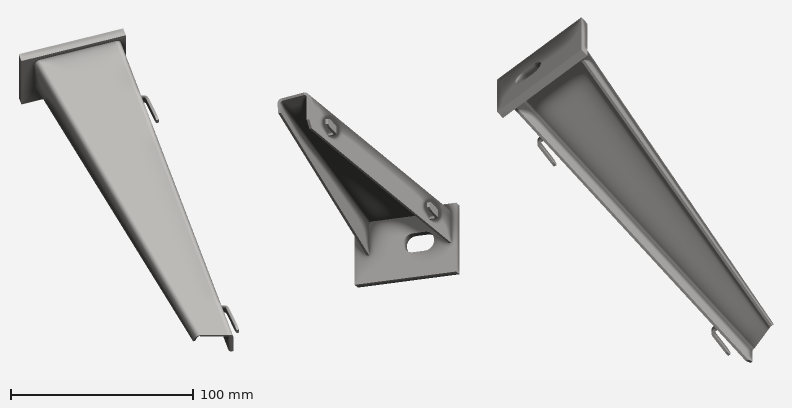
import cadquery as cq
import math

PLATE_THICKNESS = 5.0
PLATE_WIDTH = 60.0
PLATE_HEIGHT = 40.0
SLOT_LENGTH = 18.0
SLOT_HEIGHT = 11.0
SLOT_OFFSET_Y = 8.0

TOTAL_LENGTH = 215.0
ARM_LENGTH = TOTAL_LENGTH - PLATE_THICKNESS
SHEET = 1.5
BEND_RADIUS = 3.0
INNER_RADIUS = BEND_RADIUS - SHEET
TOP_Z = 17.0
BACK_Y = 27.0
BACK_FOLD_Y = BACK_Y - BEND_RADIUS
BACK_HEIGHT = 20.0
BACK_CHAMFER = 4.0

FRONT_FOLD_Y = -19.8
TAPER_ANGLE = 8.1
FRONT_FOLD_LENGTH = 207.7
FRONT_HEIGHT_AT_PLATE = 21.0
FRONT_HEIGHT_AT_TIP = 7.5
FRONT_TIP_SETBACK = 2.8

HOOK_X = 36.1
HOOK_SPACING = 150.0
HOOK_COUNT = 2
HOOK_Z = 2.5
HOOK_WIDTH = 4.5
HOOK_STEM = 2.5
HOOK_BEND_RADIUS = 3.0
HOOK_LENGTH = 17.8
HOOK_SLOPE = 4.6
HOOK_TIP_LENGTH = 2.5
HOOK_TIP_CHAMFER = 0.9


def make_plate():
    """Flat plate with one horizontal slot through it."""
    plate = cq.Workplane("XY").box(PLATE_THICKNESS, PLATE_WIDTH, PLATE_HEIGHT, centered=(False, True, True))
    slot = (
        cq.Workplane("YZ")
        .center(SLOT_OFFSET_Y, 0)
        .slot2D(SLOT_LENGTH, SLOT_HEIGHT)
        .extrude(PLATE_THICKNESS)
    )
    return plate.cut(slot)


def folded_flange(length, height, outward):
    """Quarter bend and hanging leg along X; the fold starts at Y = 0, Z = 0 and turns to the outward side."""
    mid = math.sqrt(0.5)
    return (
        cq.Workplane("YZ")
        .moveTo(0, 0)
        .threePointArc(
            (outward * BEND_RADIUS * mid, BEND_RADIUS * (mid - 1)),
            (outward * BEND_RADIUS, -BEND_RADIUS),
        )
        .lineTo(outward * BEND_RADIUS, -height)
        .lineTo(outward * INNER_RADIUS, -height)
        .lineTo(outward * INNER_RADIUS, -BEND_RADIUS)
        .threePointArc(
            (outward * INNER_RADIUS * mid, INNER_RADIUS * mid - BEND_RADIUS),
            (0, -SHEET),
        )
        .close()
        .extrude(length)
    )


def make_top():
    """Flat top of the arm, between the two fold lines."""
    taper = math.radians(TAPER_ANGLE)
    front_tip_x = PLATE_THICKNESS + FRONT_FOLD_LENGTH * math.cos(taper)
    front_tip_y = FRONT_FOLD_Y + FRONT_FOLD_LENGTH * math.sin(taper)
    outline = [
        (PLATE_THICKNESS, FRONT_FOLD_Y),
        (front_tip_x, front_tip_y),
        (TOTAL_LENGTH, BACK_FOLD_Y),
        (PLATE_THICKNESS, BACK_FOLD_Y),
    ]
    return cq.Workplane("XY").workplane(offset=TOP_Z - SHEET).polyline(outline).close().extrude(SHEET)


def make_back_flange():
    """Straight flange with its lower free corner cut off."""
    flange = folded_flange(ARM_LENGTH, BACK_HEIGHT, 1)
    flange = flange.edges("|Y").edges(">X and <Z").chamfer(BACK_CHAMFER)
    return flange.translate((PLATE_THICKNESS, BACK_FOLD_Y, TOP_Z))


def make_front_flange():
    """Angled flange that gets lower towards the tip."""
    side_outline = [
        (0, 0),
        (FRONT_FOLD_LENGTH, 0),
        (FRONT_FOLD_LENGTH - FRONT_TIP_SETBACK, -FRONT_HEIGHT_AT_TIP),
        (0, -FRONT_HEIGHT_AT_PLATE),
    ]
    side_shape = cq.Workplane("XZ").polyline(side_outline).close().extrude(BEND_RADIUS)
    flange = folded_flange(FRONT_FOLD_LENGTH, FRONT_HEIGHT_AT_PLATE, -1).intersect(side_shape)
    flange = flange.rotate((0, 0, 0), (0, 0, 1), TAPER_ANGLE)
    return flange.translate((PLATE_THICKNESS, FRONT_FOLD_Y, TOP_Z))


def make_hook():
    """Strip standing out from Y = 0, bent round towards +X, with a narrowed tip."""
    slope = math.radians(HOOK_SLOPE)
    inner = HOOK_BEND_RADIUS - SHEET

    def on_bend(radius, angle):
        """Point on the bend, at an angle measured from +X."""
        return HOOK_BEND_RADIUS + radius * math.cos(angle), HOOK_STEM + radius * math.sin(angle)

    bend_end = math.pi / 2 + slope
    bend_middle = (math.pi + bend_end) / 2
    outer_end = on_bend(HOOK_BEND_RADIUS, bend_end)
    inner_end = on_bend(inner, bend_end)
    arm = (HOOK_LENGTH - inner_end[0]) / math.cos(slope)
    reach = (arm * math.cos(slope), arm * math.sin(slope))
    strip = (
        cq.Workplane("XY")
        .moveTo(0, 0)
        .lineTo(0, HOOK_STEM)
        .threePointArc(on_bend(HOOK_BEND_RADIUS, bend_middle), outer_end)
        .lineTo(outer_end[0] + reach[0], outer_end[1] + reach[1])
        .lineTo(inner_end[0] + reach[0], inner_end[1] + reach[1])
        .lineTo(*inner_end)
        .threePointArc(on_bend(inner, bend_middle), (SHEET, HOOK_STEM))
        .lineTo(SHEET, 0)
        .close()
        .extrude(HOOK_WIDTH / 2, both=True)
    )
    half_width = HOOK_WIDTH / 2
    for side in (-1, 1):
        corner = [
            (HOOK_LENGTH, side * (half_width - HOOK_TIP_CHAMFER)),
            (HOOK_LENGTH, side * half_width),
            (HOOK_LENGTH - HOOK_TIP_LENGTH, side * half_width),
        ]
        strip = strip.cut(cq.Workplane("XZ").polyline(corner).close().extrude(HOOK_LENGTH, both=True))
    return strip


def make_arm():
    """Folded arm with its row of hooks, as one solid."""
    arm = make_top().union(make_back_flange()).union(make_front_flange())
    hook = make_hook()
    for i in range(HOOK_COUNT):
        arm = arm.union(hook.translate((HOOK_X + i * HOOK_SPACING, BACK_Y, HOOK_Z)))
    return arm


plate = make_plate()
arm = make_arm()
result = cq.Compound.makeCompound([plate.val(), arm.solids().val()])